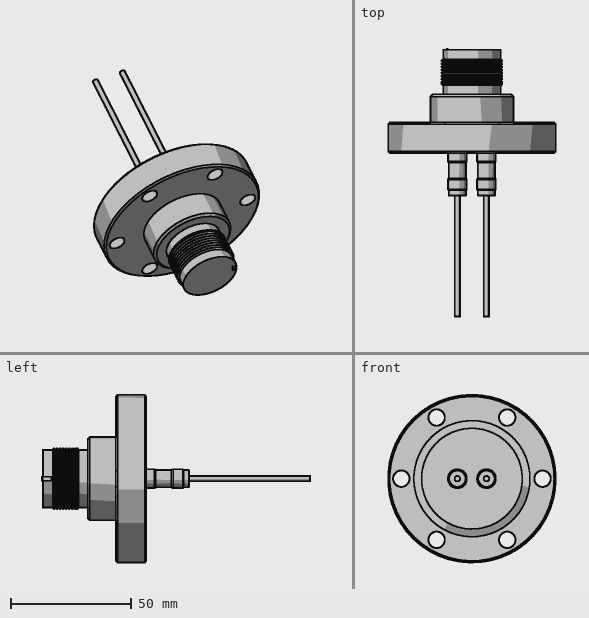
import cadquery as cq


flange_radius = 69.85 / 2
flange_thickness = 12.7
flange_chamfer = 0.76

bolt_count = 6
bolt_circle_radius = 58.72 / 2
bolt_hole_diameter = 6.75

recess_radius = 24.15
knife_radius = 20.95
recess_wall_depth = 1.2
knife_tip_depth = 0.6
disc_depth = 1.2

hub_radius = 17.35
hub_length = 11.75
hub_chamfer = 1.0
hub_end = flange_thickness + hub_length

shell_radius = 12.0
shell_length = 18.55
shell_end = hub_end + shell_length
thread_crest_radius = 12.7
thread_pitch = 1.27
thread_ridge_count = 8
thread_end_margin = 4.0
runout_ridge_offset = 0.75

keyway_width = 1.7
keyway_length = 3.4
keyway_floor_radius = 10.45
key_thickness = 0.4
key_projection = 0.4

plug_spacing = 12.1
plug_radius = 3.95
plug_waist_radius = 3.65
plug_base_length = 3.35
plug_waist_start = 4.0
plug_waist_end = 10.4
plug_collar_start = 11.1
plug_collar_end = 15.15
plug_nose_start = 15.45
plug_length = 17.85
plug_end_chamfer = 0.25
rod_radius = 1.15
rod_end = 68.06


def turned(profile, axis_x=0.0):
    """Revolve a list of (radius, y) points about the line X = axis_x, Z = 0."""
    points = [(axis_x + radius, y) for radius, y in profile]
    sketch = cq.Workplane("XY").polyline(points).close()
    return sketch.revolve(360, (axis_x, 0, 0), (axis_x, 1, 0))


def make_flange():
    """Chamfered disc with the seal recess turned into its Y = 0 face."""
    rim_radius = flange_radius - flange_chamfer
    return turned([
        (0, disc_depth),
        (knife_radius, disc_depth),
        (knife_radius, knife_tip_depth),
        (recess_radius, recess_wall_depth),
        (recess_radius, 0),
        (rim_radius, 0),
        (flange_radius, flange_chamfer),
        (flange_radius, flange_thickness - flange_chamfer),
        (rim_radius, flange_thickness),
        (0, flange_thickness),
    ])


def make_bolt_holes():
    """Through holes on the bolt circle, the first one on the +X axis."""
    hole_centers = cq.Workplane("XZ").polarArray(bolt_circle_radius, 0, 360, bolt_count)
    return hole_centers.circle(bolt_hole_diameter / 2).extrude(-flange_thickness)


def make_hub():
    """Plain cylinder chamfered at its outer end."""
    return turned([
        (0, flange_thickness),
        (hub_radius, flange_thickness),
        (hub_radius, hub_end - hub_chamfer),
        (hub_radius - hub_chamfer, hub_end),
        (0, hub_end),
    ])


def thread_profile():
    """V thread outline from the free end inward, closed by a short runout ridge."""
    half_pitch = thread_pitch / 2
    flank_slope = (thread_crest_radius - shell_radius) / half_pitch
    y = shell_end - thread_end_margin
    points = [(shell_radius, y)]
    for ridge in range(thread_ridge_count):
        crest_y = y - (ridge + 0.5) * thread_pitch
        points.append((thread_crest_radius, crest_y))
        points.append((shell_radius, crest_y - half_pitch))
    points.pop()
    runout_valley_radius = thread_crest_radius - flank_slope * runout_ridge_offset / 2
    points.append((runout_valley_radius, crest_y - runout_ridge_offset / 2))
    points.append((thread_crest_radius, crest_y - runout_ridge_offset))
    points.append((shell_radius, crest_y - runout_ridge_offset - half_pitch))
    return points


def make_shell():
    """Threaded cylinder with a keyway and key at its free end on the -X side."""
    outline = [(0, shell_end), (shell_radius, shell_end)]
    outline += thread_profile()
    outline += [(shell_radius, hub_end), (0, hub_end)]
    keyway_depth = shell_radius - keyway_floor_radius
    keyway = cq.Workplane("XY").box(keyway_depth, keyway_length, keyway_width).translate(
        (-keyway_floor_radius - keyway_depth / 2, shell_end - keyway_length / 2, 0)
    )
    key_length = keyway_length + key_projection
    key = cq.Workplane("XY").box(key_thickness, key_length, keyway_width).translate(
        (-keyway_floor_radius + key_thickness / 2, shell_end + key_projection - key_length / 2, 0)
    )
    return turned(outline).cut(keyway).union(key)


def make_plug(center_x):
    """Waisted plug with its conductor rod, both standing on the recessed disc."""
    return turned([
        (0, disc_depth),
        (plug_radius, disc_depth),
        (plug_radius, -plug_base_length),
        (plug_waist_radius, -plug_waist_start),
        (plug_waist_radius, -plug_waist_end),
        (plug_radius, -plug_collar_start),
        (plug_radius, -plug_collar_end),
        (plug_waist_radius, -plug_nose_start),
        (plug_waist_radius, -plug_length + plug_end_chamfer),
        (plug_waist_radius - plug_end_chamfer, -plug_length),
        (rod_radius, -plug_length),
        (rod_radius, -rod_end),
        (0, -rod_end),
    ], center_x)


result = make_flange().cut(make_bolt_holes()).union(make_hub()).union(make_shell())
for side in (-1, 1):
    result = result.union(make_plug(side * plug_spacing / 2))